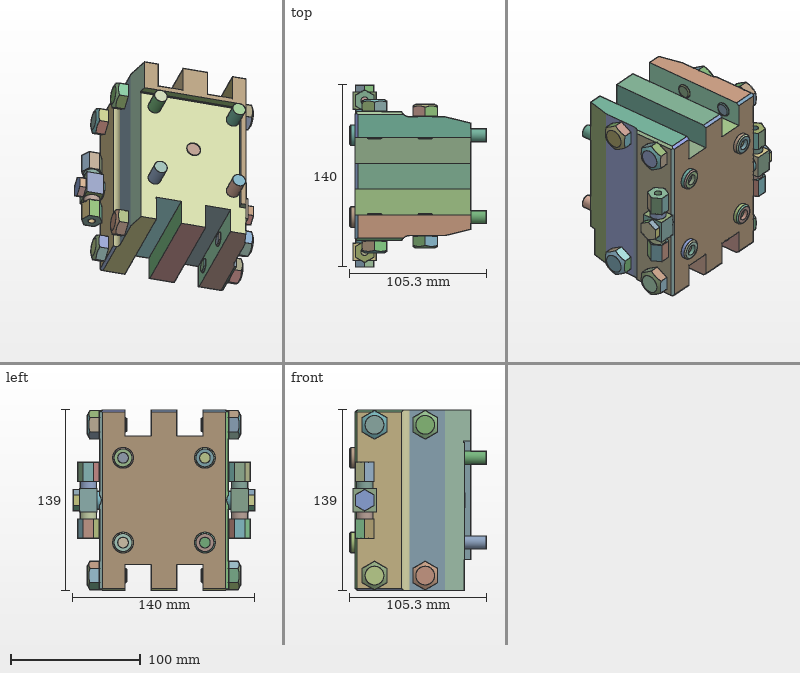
import cadquery as cq
import math

body_length = 89.3
body_height = 139.0
band_half_width = 49.6
flank_half_width = 45.8
tail_half_width = 40.9
band_end_x = 36.0
taper_start_x = 69.5
step_arc_radius = 7.0
edge_chamfer_x = 2.3
side_chamfer_x = 1.7
edge_chamfer_z = 1.7
edge_chamfer_y = 2.1

slot_depth = 20.0
slot_width = 20.0
middle_rib_width = 19.7
slot_offset = (middle_rib_width + slot_width) / 2

seat_depth = 5.0
seat_half_height = 45.7
side_lip_width = 4.0
relief_depth = 0.8
relief_height = 1.3
pad_diameter = 11.0
pad_height = 0.7

bolt_front_x = 15.2
bolt_rear_x = 54.2
bolt_z = 58.0
bolt_across_flats = 19.1
bolt_head_height = 9.2
bolt_head_gap = 0.4
bolt_shank_diameter = 11.2
bolt_tip_length = 1.3
bolt_tip_chamfer = 0.9
bolt_crown_diameter = 14.4
bolt_crown_angle = 30.0

screw_y = 31.5
screw_z = 32.6
screw_head_diameter = 16.0
screw_head_height = 4.0
screw_head_chamfer = 1.1
screw_socket_diameter = 8.2
screw_socket_depth = 3.5
screw_shank_diameter = 10.2
screw_end_x = 101.3

fitting_x = 7.6
fitting_y = 58.2
fitting_block_side = 18.2
fitting_block_width = 13.5
fitting_hex_flats = 14.3
fitting_end_y = 70.0
fitting_stub_diameter = 14.0
fitting_stub_start_y = 48.0
neck_diameter = 12.6
nut_start_z = 14.3
nut_end_z = 29.3
nut_bore_diameter = 5.6


def corner_diameter(across_flats):
    """Diameter of the circle through the corners of a hexagon."""
    return across_flats / math.cos(math.pi / 6)


def on_both_sides(solid):
    """A +Y side solid together with its mirror image."""
    return solid.union(solid.mirror("XZ"))


def make_half_body():
    step_drop = band_half_width - flank_half_width
    flank_start_x = band_end_x + math.sqrt(step_drop * (2 * step_arc_radius - step_drop))
    half = (
        cq.Workplane("XY")
        .workplane(offset=-body_height / 2)
        .moveTo(0, 0)
        .lineTo(0, band_half_width - edge_chamfer_y)
        .lineTo(side_chamfer_x, band_half_width)
        .lineTo(band_end_x, band_half_width)
        .radiusArc((flank_start_x, flank_half_width), -step_arc_radius)
        .lineTo(taper_start_x, flank_half_width)
        .lineTo(body_length, tail_half_width)
        .lineTo(body_length, 0)
        .close()
        .extrude(body_height)
    )
    return half


def front_end_wedge():
    """Cutter that bevels the front edge of the upper end."""
    top = body_height / 2
    return (
        cq.Workplane("XZ")
        .polyline([(0, top - edge_chamfer_z), (edge_chamfer_x, top), (0, top)])
        .close()
        .extrude(band_half_width, both=True)
    )


def band_end_wedge():
    """Cutter that bevels the upper end edge of the +Y side band."""
    top = body_height / 2
    return (
        cq.Workplane("YZ")
        .polyline(
            [
                (band_half_width - edge_chamfer_y, top),
                (band_half_width, top - edge_chamfer_z),
                (band_half_width, top),
            ]
        )
        .close()
        .extrude(taper_start_x)
    )


def upper_slots():
    return (
        cq.Workplane("XY")
        .workplane(offset=body_height / 2 - slot_depth)
        .pushPoints([(body_length / 2, -slot_offset), (body_length / 2, slot_offset)])
        .rect(body_length, slot_width)
        .extrude(slot_depth)
    )


def mounting_seat():
    """Cutter for the rear seat, leaving an upper lip and a lip on the +Y side."""
    seat_x = body_length - seat_depth
    bottom = -body_height / 2
    lip_inner_y = tail_half_width - side_lip_width
    open_y = -flank_half_width
    main = cq.Workplane("XY").box(
        seat_depth, lip_inner_y - open_y, seat_half_height - bottom, centered=False
    )
    main = main.translate((seat_x, open_y, bottom))
    below_lip = cq.Workplane("XY").box(
        seat_depth, 2 * flank_half_width, -seat_half_height - bottom, centered=False
    )
    below_lip = below_lip.translate((seat_x, open_y, bottom))
    relief = cq.Workplane("XY").box(
        relief_depth, lip_inner_y - open_y, relief_height, centered=False
    )
    relief = relief.translate((seat_x - relief_depth, open_y, seat_half_height - relief_height))
    return main.union(below_lip).union(relief)


def make_body():
    body = on_both_sides(make_half_body())
    upper_cuts = [front_end_wedge(), on_both_sides(band_end_wedge()), upper_slots()]
    for cutter in upper_cuts:
        body = body.cut(cutter).cut(cutter.mirror("XY"))
    body = body.cut(mounting_seat())
    pad = (
        cq.Workplane("YZ")
        .workplane(offset=body_length - seat_depth)
        .circle(pad_diameter / 2)
        .extrude(pad_height)
    )
    return body.union(pad)


def make_bolt(x, z, face_y):
    """Hexagon bolt entering the +Y side at face_y, tip showing in the slot."""
    tip_y = middle_rib_width / 2 + slot_width - bolt_tip_length
    head_y = face_y + bolt_head_gap
    top_y = head_y + bolt_head_height
    corner_radius = corner_diameter(bolt_across_flats) / 2
    crown_radius = bolt_crown_diameter / 2
    crown_drop = (corner_radius - crown_radius) * math.tan(math.radians(bolt_crown_angle))

    head = (
        cq.Workplane("XZ")
        .workplane(offset=-head_y)
        .polygon(6, 2 * corner_radius)
        .extrude(-bolt_head_height)
        .rotate((0, 0, 0), (0, 1, 0), 90)
    )
    crown = (
        cq.Workplane("XY")
        .moveTo(0, head_y)
        .lineTo(corner_radius, head_y)
        .lineTo(corner_radius, top_y - crown_drop)
        .lineTo(crown_radius, top_y)
        .lineTo(0, top_y)
        .close()
        .revolve(360, (0, 0, 0), (0, 1, 0))
    )
    shank = (
        cq.Workplane("XZ")
        .workplane(offset=-tip_y)
        .circle(bolt_shank_diameter / 2)
        .extrude(tip_y - head_y)
        .faces("<Y")
        .chamfer(bolt_tip_chamfer)
    )
    return head.intersect(crown).union(shank).translate((x, 0, z))


def make_cap_screw(y, z):
    head = (
        cq.Workplane("YZ")
        .circle(screw_head_diameter / 2)
        .extrude(-screw_head_height)
        .faces("<X")
        .chamfer(screw_head_chamfer)
    )
    shank = cq.Workplane("YZ").circle(screw_shank_diameter / 2).extrude(screw_end_x)
    socket = (
        cq.Workplane("YZ")
        .workplane(offset=-screw_head_height)
        .circle(screw_socket_diameter / 2)
        .extrude(screw_socket_depth)
    )
    return head.union(shank).cut(socket).translate((0, y, z))


def make_fitting():
    """Tee fitting on the +Y side: block, stub, outer plug and two nuts."""
    hex_diameter = corner_diameter(fitting_hex_flats)
    block = cq.Workplane("XY").box(fitting_block_side, fitting_block_width, fitting_block_side)
    stub = (
        cq.Workplane("XZ")
        .circle(fitting_stub_diameter / 2)
        .extrude(fitting_y - fitting_stub_start_y)
    )
    plug = (
        cq.Workplane("XZ")
        .polygon(6, hex_diameter)
        .extrude(fitting_y - fitting_end_y)
        .rotate((0, 0, 0), (0, 1, 0), 90)
    )
    neck = cq.Workplane("XY").circle(neck_diameter / 2).extrude(nut_start_z, both=True)
    fitting = block.union(stub).union(plug).union(neck)

    nut = (
        cq.Workplane("XY")
        .workplane(offset=nut_start_z)
        .polygon(6, hex_diameter)
        .circle(nut_bore_diameter / 2)
        .extrude(nut_end_z - nut_start_z)
        .rotate((0, 0, 0), (0, 0, 1), 90)
    )
    fitting = fitting.union(nut).union(nut.mirror("XY"))
    return fitting.translate((fitting_x, fitting_y, 0))


result = make_body()
for side_z in (-1, 1):
    front_bolt = make_bolt(bolt_front_x, side_z * bolt_z, band_half_width)
    rear_bolt = make_bolt(bolt_rear_x, side_z * bolt_z, flank_half_width)
    result = result.union(on_both_sides(front_bolt)).union(on_both_sides(rear_bolt))
    for side_y in (-1, 1):
        result = result.union(make_cap_screw(side_y * screw_y, side_z * screw_z))
result = result.union(on_both_sides(make_fitting()))